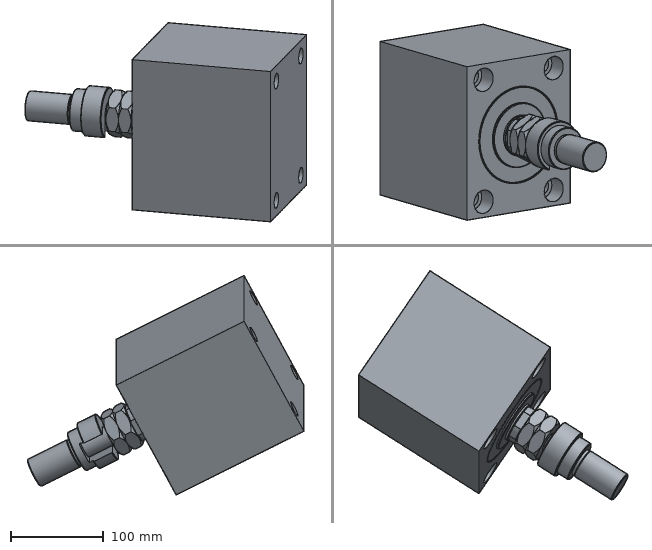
import cadquery as cq
import math


overall_length = 292.0
housing_length = 155.5
housing_width = 140.0
housing_height = 170.0
lip_radius = 35.5
lip_length = 2.5
ring_groove_radius = 53.5
ring_groove_width = 1.2
ring_groove_depth = 1.2
bolt_spacing_y = 95.0
bolt_spacing_z = 135.0
bolt_hole_diameter = 17.0
counterbore_diameter = 25.7
counterbore_depth = 20.5

rod_radius = 22.5
rod_depth = 116.8
rod_shoulder_x = -5.8
flats_radius = 21.5
flats_width = 39.0

hex_across_flats = 46.0
hex_height = 14.0
hex_chamfer = 3.65
rod_end_x = -15.0
thread_radius = 15.0
thread_engagement = 29.2
pin_neck_radius = 11.0
pin_relief_radius = 10.8
pin_relief_length = 1.8
nut_x = rod_end_x - hex_height
pin_hex_x = nut_x - hex_height

socket_front_x = housing_length - overall_length
shank_radius = 16.4
shank_end_x = -87.5
shank_neck_radius = 15.8
collar_radius = 23.0
collar_x = -84.5
cap_radius = 27.5
cap_x = -70.5
cap_end_x = -47.3
slot_x = -75.3
slot_width = 23.5

edge_chamfer = 1.0


def x_cylinder(start_x, end_x, radius):
    """Solid cylinder on the X axis."""
    return cq.Workplane("YZ").workplane(offset=start_x).circle(radius).extrude(end_x - start_x)


def make_housing():
    block = cq.Workplane("XY").box(
        housing_length, housing_width, housing_height, centered=(False, True, True)
    )
    lip = x_cylinder(-lip_length, 0, lip_radius).faces("<X").edges().chamfer(edge_chamfer)
    ring_groove = x_cylinder(0, ring_groove_depth, ring_groove_radius).cut(
        x_cylinder(0, ring_groove_depth, ring_groove_radius - ring_groove_width)
    )
    rod_bore = x_cylinder(-lip_length, rod_depth, rod_radius)
    bolt_centers = [
        (side_y * bolt_spacing_y / 2, side_z * bolt_spacing_z / 2)
        for side_y in (-1, 1)
        for side_z in (-1, 1)
    ]
    bolt_points = cq.Workplane("YZ").pushPoints(bolt_centers)
    bolt_holes = bolt_points.circle(bolt_hole_diameter / 2).extrude(housing_length)
    counterbores = bolt_points.circle(counterbore_diameter / 2).extrude(counterbore_depth)
    housing = block.union(lip).cut(ring_groove).cut(rod_bore)
    return housing.cut(bolt_holes).cut(counterbores)


def make_piston_rod():
    main = x_cylinder(rod_shoulder_x, rod_depth, rod_radius).faces("<X").edges().chamfer(edge_chamfer)
    front = x_cylinder(rod_end_x, rod_shoulder_x, flats_radius).faces("<X").edges().chamfer(edge_chamfer)
    wrench_square = (
        cq.Workplane("YZ").workplane(offset=rod_end_x)
        .rect(flats_width, flats_width).extrude(rod_shoulder_x - rod_end_x)
    )
    thread_hole = x_cylinder(rod_end_x, rod_end_x + thread_engagement, thread_radius)
    return main.union(front.intersect(wrench_square)).cut(thread_hole)


def make_hexagon(start_x):
    """Hexagon with corners up and down, its corners chamfered at both ends."""
    corner_diameter = hex_across_flats / math.cos(math.pi / 6)
    hexagon = (
        cq.Workplane("YZ").workplane(offset=start_x)
        .transformed(rotate=(0, 0, 90))
        .polygon(6, corner_diameter).extrude(hex_height)
    )
    envelope = x_cylinder(start_x, start_x + hex_height, hex_across_flats / 2 + hex_chamfer)
    return hexagon.intersect(envelope.faces("<X or >X").edges().chamfer(hex_chamfer))


def make_lock_nut():
    return make_hexagon(nut_x).cut(x_cylinder(nut_x, rod_end_x, thread_radius))


def make_coupling_pin():
    relief_x = pin_hex_x - pin_relief_length
    neck = x_cylinder(slot_x, relief_x, pin_neck_radius)
    relief = x_cylinder(relief_x, pin_hex_x, pin_relief_radius)
    thread = x_cylinder(nut_x, rod_end_x + thread_engagement, thread_radius)
    return make_hexagon(pin_hex_x).union(neck).union(relief).union(thread)


def make_coupling_socket():
    shank = (
        x_cylinder(socket_front_x, shank_end_x, shank_radius)
        .faces("<X or >X").edges().chamfer(edge_chamfer)
    )
    shank_neck = x_cylinder(shank_end_x, collar_x, shank_neck_radius)
    collar = x_cylinder(collar_x, cap_x, collar_radius).faces("<X").edges().chamfer(edge_chamfer)
    cap = x_cylinder(cap_x, cap_end_x, cap_radius).faces("<X or >X").edges().chamfer(edge_chamfer)
    slot_length = cap_end_x - slot_x
    slot_sides = (
        cq.Workplane("YZ").workplane(offset=slot_x)
        .center(0, -cap_radius / 2).rect(slot_width, cap_radius).extrude(slot_length)
    )
    slot_top = x_cylinder(slot_x, cap_end_x, slot_width / 2)
    return shank.union(shank_neck).union(collar).union(cap).cut(slot_sides).cut(slot_top)


housing = make_housing()
piston_rod = make_piston_rod()
lock_nut = make_lock_nut()
coupling_pin = make_coupling_pin()
coupling_socket = make_coupling_socket()

result = cq.Compound.makeCompound([
    housing.solids().val(),
    piston_rod.solids().val(),
    lock_nut.solids().val(),
    coupling_pin.solids().val(),
    coupling_socket.solids().val(),
])